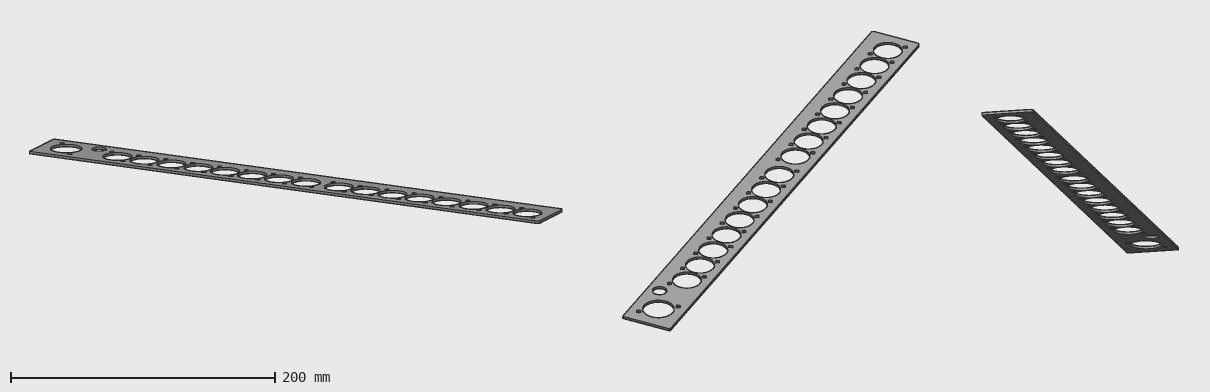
import cadquery as cq

length = 435.0
width = 40.0
thickness = 2.0
corner_radius = 2.0

left_edge = -length / 2

large_opening_diameter = 23.9
large_opening_x = left_edge + 21.0
large_opening_y = 0.0
large_screw_diameter = 3.5
large_screw_span_x = 19.0
large_screw_span_y = 24.0

single_hole_diameter = 11.0
single_hole_x = left_edge + 43.9
single_hole_y = 10.1

opening_diameter = 22.0
opening_pitch = 23.0
openings_per_group = 8
group_offset = 189.0
first_opening_x = left_edge + 66.0
group_first_xs = [first_opening_x, first_opening_x + group_offset]
opening_row_y = -2.2
screw_diameter = 3.2
screw_span = 19.8


def make_plate():
    """Flat plate with its two +X corners rounded."""
    plate = cq.Workplane("XY").box(length, width, thickness, centered=(True, True, False))
    return plate.edges("|Z and >X").fillet(corner_radius)


def make_through_holes(centres, diameter):
    """Cylinders that pass through the full plate thickness."""
    return cq.Workplane("XY").pushPoints(centres).circle(diameter / 2).extrude(thickness)


def screw_positions(centre, span_x, span_y):
    """Two screw positions on the diagonal from upper left to lower right of an opening."""
    x, y = centre
    upper_left = (x - span_x / 2, y + span_y / 2)
    lower_right = (x + span_x / 2, y - span_y / 2)
    return [upper_left, lower_right]


def cut_connectors(plate, centres, diameter, screw_hole_diameter, span_x, span_y):
    """Cut each connector opening together with its pair of screw holes."""
    plate = plate.cut(make_through_holes(centres, diameter))
    for centre in centres:
        screws = screw_positions(centre, span_x, span_y)
        plate = plate.cut(make_through_holes(screws, screw_hole_diameter))
    return plate


large_centres = [(large_opening_x, large_opening_y)]
row_centres = [
    (first_x + index * opening_pitch, opening_row_y)
    for first_x in group_first_xs
    for index in range(openings_per_group)
]

result = make_plate()
result = cut_connectors(
    result,
    large_centres,
    large_opening_diameter,
    large_screw_diameter,
    large_screw_span_x,
    large_screw_span_y,
)
result = cut_connectors(
    result,
    row_centres,
    opening_diameter,
    screw_diameter,
    screw_span,
    screw_span,
)
result = result.cut(make_through_holes([(single_hole_x, single_hole_y)], single_hole_diameter))